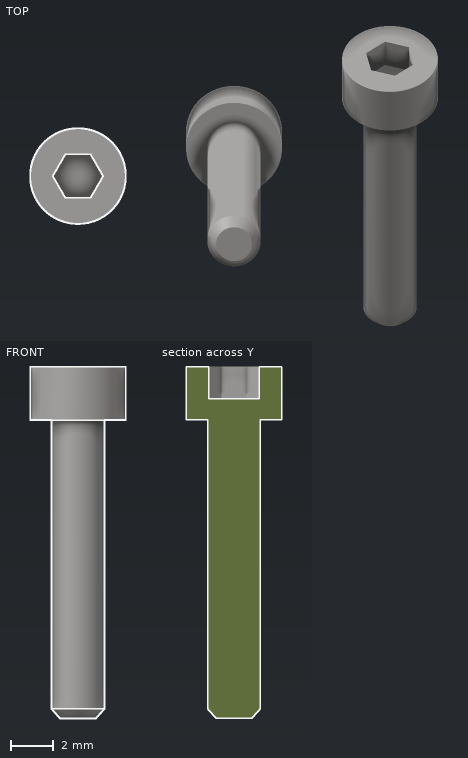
import cadquery as cq
import math

total_length = 16.5
head_diameter = 4.5
head_height = 2.5
shank_diameter = 2.5

head_edge_fillet = 0.03
tip_chamfer_height = 0.46
tip_diameter = 1.68

socket_width = 2.05
socket_depth = 1.5

shank_length = total_length - head_height


def make_head():
    head = cq.Workplane("XY").circle(head_diameter / 2).extrude(head_height)
    return head.faces(">Z").edges().fillet(head_edge_fillet)


def make_shank():
    shank = cq.Workplane("XY").circle(shank_diameter / 2).extrude(-shank_length)
    tip_chamfer_width = (shank_diameter - tip_diameter) / 2
    tip_edge = shank.faces("<Z").edges()
    return tip_edge.chamfer(tip_chamfer_height, tip_chamfer_width)


def make_socket():
    corner_diameter = socket_width / math.cos(math.pi / 6)
    return (
        cq.Workplane("XY")
        .workplane(offset=head_height)
        .polygon(6, corner_diameter)
        .extrude(-socket_depth)
    )


result = make_head().union(make_shank()).cut(make_socket())